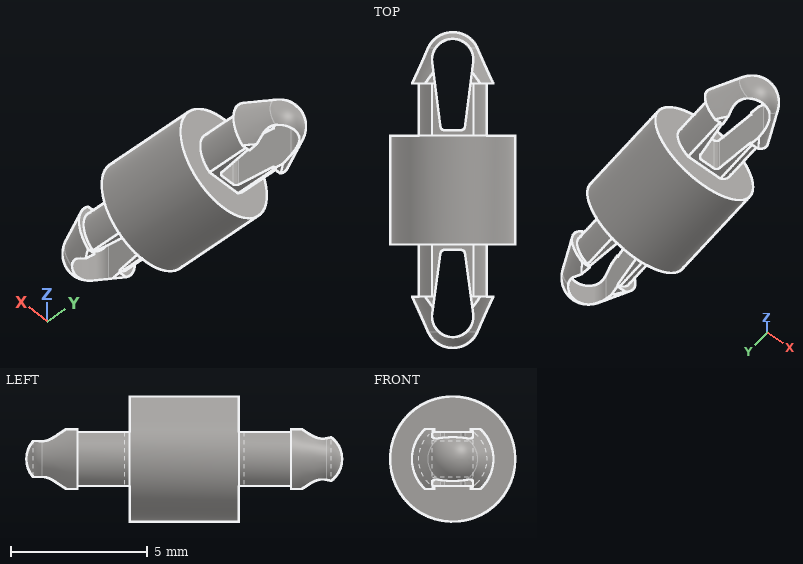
import cadquery as cq
import math

overall_length = 11.6
collar_diameter = 4.6
collar_length = 4.0

stem_radius = 1.25
stem_flat_height = 2.0
barb_radius = 1.5
barb_flat_height = 2.2
barb_base_y = 3.91
dome_radius = 1.0

slot_end_radius = 0.75
rear_tip_wall = 0.25
front_tip_wall = 0.41
slot_floor_gap = 0.2
slot_floor_half_width = 0.43
slot_corner_radius = 0.15

tip_y = overall_length / 2
collar_end_y = collar_length / 2
dome_center_y = tip_y - dome_radius
slot_floor_y = collar_end_y + slot_floor_gap


def point_on_circle(center_y, radius, angle):
    """Point on a circle centered on the pin axis, with the angle measured from +X toward +Y."""
    return (radius * math.cos(angle), center_y + radius * math.sin(angle))


def tangent_angle(center_y, radius, x, y):
    """Angle of the outer point where a line from (x, y) touches a circle centered on the pin axis."""
    distance = math.hypot(x, y - center_y)
    return math.atan2(y - center_y, x) + math.acos(radius / distance)


def flatten(body, height):
    """Trim a body to a band of the given height centered on the pin axis."""
    band = cq.Workplane("XY").box(overall_length, 2 * overall_length, height)
    return body.intersect(band)


def make_collar():
    return cq.Workplane("XZ", origin=(0, collar_end_y, 0)).circle(collar_diameter / 2).extrude(collar_length)


def make_stem():
    stem = cq.Workplane("XZ").circle(stem_radius).extrude(-barb_base_y)
    return flatten(stem, stem_flat_height)


def make_barb():
    join_angle = tangent_angle(dome_center_y, dome_radius, barb_radius, barb_base_y)
    middle_angle = (join_angle + math.pi / 2) / 2
    barb = (
        cq.Workplane("XY")
        .moveTo(0, barb_base_y)
        .lineTo(barb_radius, barb_base_y)
        .lineTo(*point_on_circle(dome_center_y, dome_radius, join_angle))
        .threePointArc(point_on_circle(dome_center_y, dome_radius, middle_angle), (0, tip_y))
        .close()
        .revolve(360, (0, 0), (0, 1))
    )
    return flatten(barb, barb_flat_height)


def make_slot(tip_wall):
    end_center_y = tip_y - tip_wall - slot_end_radius
    join_angle = tangent_angle(end_center_y, slot_end_radius, slot_floor_half_width, slot_floor_y)
    right_join = point_on_circle(end_center_y, slot_end_radius, join_angle)
    left_join = point_on_circle(end_center_y, slot_end_radius, math.pi - join_angle)
    slot_end = point_on_circle(end_center_y, slot_end_radius, math.pi / 2)
    return (
        cq.Workplane("XY")
        .moveTo(-slot_floor_half_width, slot_floor_y)
        .lineTo(slot_floor_half_width, slot_floor_y)
        .lineTo(*right_join)
        .threePointArc(slot_end, left_join)
        .close()
        .extrude(barb_radius, both=True)
        .edges("|Z and <Y")
        .fillet(slot_corner_radius)
    )


def make_pin(tip_wall):
    return make_stem().union(make_barb()).cut(make_slot(tip_wall))


rear_pin = make_pin(rear_tip_wall)
front_pin = make_pin(front_tip_wall).mirror("XZ")
result = make_collar().union(rear_pin).union(front_pin)